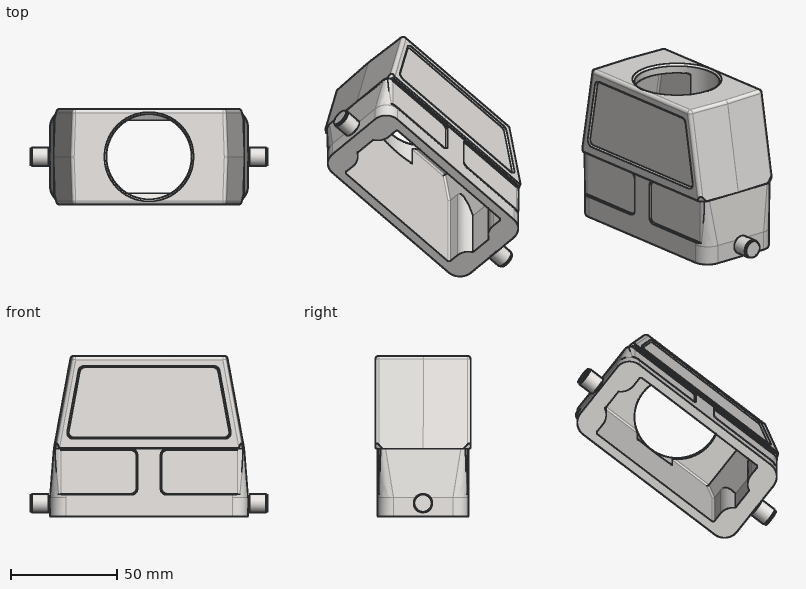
import cadquery as cq

length = 111.7
width = 45.0
height = 75.6

base_half_x = 46.6
body_half_y = 21.5
base_corner_radius = 7.5
base_height = 9.2
rim_chamfer_width = 0.1
rim_chamfer_height = 0.6
shoulder_z = 31.8
shoulder_half_x = 44.8
shoulder_corner_radius = 3.8

hood_half_y = width / 2
hood_top_half_x = 36.7
hood_fold = 0.8
hood_edge_radius = 1.8
hood_lower_chamfer = 0.7
bevel_x = 2.8
bevel_y = 4.7
bevel_rise = 8.9
end_slope = (shoulder_half_x - hood_top_half_x) / (height - shoulder_z)

grip_depth = 0.7
window_depth = 0.9
recess_wall_width_per_depth = 0.9
recess_corner_radius = 3.0
window_bottom_z = 36.5
window_top_z = 70.9
window_bottom_half_x = 39.1
grip_bottom_z = 10.3
grip_inner_x = 5.4
grip_outer_x = 45.8
grip_end_radius = 4.4
grip_end_half_y = 18.4

entry_radius = 40.0 / 2
entry_chamfer = 1.0
entry_depth = 17.5
entry_tip_radius = 16.2
entry_tip_height = 2.2

cavity_half_y = 17.1
cavity_roof_z = height - 4.5
cavity_top_half_x = 31.6
cavity_edge_radius = 0.9
cavity_shoulder_half_x = cavity_top_half_x + end_slope * (cavity_roof_z - shoulder_z)
boss_face_x = 35.0
boss_radius = 7.6
boss_y = 11.8

pin_z = 6.4
pin_radius = 8.8 / 2
pin_tip_radius = 8.0 / 2
pin_tip_length = 0.7
pin_head_x = 47.2
neck_radius = 2.6
neck_start_x = base_half_x - 2.2


def rounded_rectangle(half_x, half_y, radius):
    return cq.Sketch().rect(2 * half_x, 2 * half_y).vertices().fillet(radius)


def make_body():
    lower = rounded_rectangle(base_half_x, body_half_y, base_corner_radius)
    upper = rounded_rectangle(shoulder_half_x, body_half_y, shoulder_corner_radius)
    rise = cq.Location(cq.Vector(0, 0, shoulder_z - base_height))
    base = cq.Workplane("XY").placeSketch(lower).extrude(base_height)
    leaning = (
        cq.Workplane("XY", origin=(0, 0, base_height))
        .placeSketch(lower, upper.moved(rise))
        .loft(ruled=True)
    )
    base = base.faces("<Z").edges().chamfer(rim_chamfer_height, rim_chamfer_width)
    return base.union(leaning)


def polyhedron(rings):
    """Solid bounded by flat faces, one per closed ring of corner points."""
    faces = [cq.Face.makeFromWires(cq.Wire.makePolygon(ring, close=True)) for ring in rings]
    solid = cq.Solid.makeSolid(cq.Shell.makeShell(faces))
    return cq.Workplane(solid.fix())


def hood_outline(ridge_half_x, z):
    """Six corners of the hood plan at height z, with a ridge at each end on the X axis."""
    corner_half_x = ridge_half_x - hood_fold
    plan = [
        (ridge_half_x, 0),
        (corner_half_x, hood_half_y),
        (-corner_half_x, hood_half_y),
        (-ridge_half_x, 0),
        (-corner_half_x, -hood_half_y),
        (corner_half_x, -hood_half_y),
    ]
    return [cq.Vector(x, y, z) for x, y in plan]


def corner_wedge(side_x, side_y):
    """Cutter that bevels one lower hood corner down towards the rounder body corner."""
    corner_x = side_x * shoulder_half_x
    corner_y = side_y * hood_half_y
    base = [
        cq.Vector(corner_x, corner_y, shoulder_z),
        cq.Vector(corner_x - side_x * bevel_x, corner_y, shoulder_z),
        cq.Vector(corner_x, corner_y - side_y * bevel_y, shoulder_z),
    ]
    apex = cq.Vector(corner_x, corner_y, shoulder_z + bevel_rise)
    rings = [base]
    for i in range(len(base)):
        rings.append([base[i - 1], base[i], apex])
    return polyhedron(rings)


def make_hood():
    lower = hood_outline(shoulder_half_x, shoulder_z)
    upper = hood_outline(hood_top_half_x, height)
    rings = [lower, upper]
    for i in range(len(lower)):
        rings.append([lower[i - 1], lower[i], upper[i], upper[i - 1]])
    hood = polyhedron(rings)
    hood = hood.faces("<Z").edges("|X").chamfer(hood_lower_chamfer)
    corner_edges = hood.faces("<Y or >Y").edges("not |X")
    hood = hood.faces(">Z").edges().add(corner_edges).fillet(hood_edge_radius)
    for side_x in (-1, 1):
        for side_y in (-1, 1):
            hood = hood.cut(corner_wedge(side_x, side_y))
    return hood


def side_recess(outline, face_y, depth):
    """Cutters with sloped walls, sunk from the side planes at -face_y and +face_y."""
    cutter = (
        cq.Workplane("XZ", origin=(0, -face_y, 0))
        .polyline(outline)
        .close()
        .extrude(-depth)
        .edges("|Y")
        .fillet(recess_corner_radius)
        .faces(">Y")
        .edges()
        .chamfer(recess_wall_width_per_depth * depth)
    )
    return cutter.union(cutter.mirror("XZ"))


def make_windows():
    top_half_x = window_bottom_half_x - end_slope * (window_top_z - window_bottom_z)
    outline = [
        (-window_bottom_half_x, window_bottom_z),
        (window_bottom_half_x, window_bottom_z),
        (top_half_x, window_top_z),
        (-top_half_x, window_top_z),
    ]
    return side_recess(outline, hood_half_y, window_depth)


def make_grips():
    """Two recesses on each long side, running out at the ends."""
    grips = cq.Workplane("XY")
    for side in (-1, 1):
        outline = [
            (side * grip_inner_x, grip_bottom_z),
            (side * length / 2, grip_bottom_z),
            (side * length / 2, shoulder_z),
            (side * grip_inner_x, shoulder_z),
        ]
        grips = grips.add(side_recess(outline, body_half_y, grip_depth))
    return grips.combine()


def make_grip_ends():
    """Cutter that wraps the grip recesses round the corners of the body."""
    floor_half_y = body_half_y - grip_depth
    wrap_start_z = grip_bottom_z + grip_depth / 2
    wrap_height = shoulder_z - wrap_start_z
    plane = cq.Workplane("XY", origin=(0, 0, wrap_start_z))
    core = plane.placeSketch(
        rounded_rectangle(grip_outer_x, floor_half_y, grip_end_radius)
    ).extrude(wrap_height)
    end_wall = plane.rect(length, 2 * grip_end_half_y).extrude(wrap_height)
    middle = plane.rect(2 * (grip_outer_x - grip_end_radius), length).extrude(wrap_height)
    return plane.rect(length, length).extrude(wrap_height).cut(core).cut(end_wall).cut(middle)


def make_entry():
    chamfer_radius = entry_radius + entry_chamfer
    profile = [
        (0, height),
        (chamfer_radius, height),
        (entry_radius, height - entry_chamfer),
        (entry_radius, height - entry_depth),
        (entry_tip_radius, height - entry_depth - entry_tip_height),
        (0, height - entry_depth - entry_tip_height),
    ]
    return cq.Workplane("XZ").polyline(profile).close().revolve(360, (0, 0, 0), (0, 1, 0))


def make_cavity():
    profile = [
        (-cavity_shoulder_half_x, 0),
        (cavity_shoulder_half_x, 0),
        (cavity_shoulder_half_x, shoulder_z),
        (cavity_top_half_x, cavity_roof_z),
        (-cavity_top_half_x, cavity_roof_z),
        (-cavity_shoulder_half_x, shoulder_z),
    ]
    cavity = (
        cq.Workplane("XZ", origin=(0, cavity_half_y, 0))
        .polyline(profile)
        .close()
        .extrude(2 * cavity_half_y)
    )
    for side_x in (-1, 1):
        for side_y in (-1, 1):
            boss_x = side_x * (boss_face_x + boss_radius)
            pillar = (
                cq.Workplane("XY", origin=(boss_x, side_y * boss_y, 0))
                .circle(boss_radius)
                .extrude(height)
            )
            web = (
                cq.Workplane("XY", origin=(boss_x, side_y * (boss_y + boss_radius), 0))
                .rect(2 * boss_radius, 2 * boss_radius)
                .extrude(height)
            )
            cavity = cavity.cut(pillar).cut(web)
    roof_edges = cavity.faces(">Z").edges("|X")
    corner_edges = cavity.faces("<Y or >Y").edges("not |X")
    return roof_edges.add(corner_edges).fillet(cavity_edge_radius)


def make_pin():
    """Stepped pin on the +X end."""
    tip_x = length / 2
    tip_chamfer = pin_radius - pin_tip_radius
    profile = [
        (neck_start_x, 0),
        (neck_start_x, neck_radius),
        (pin_head_x, neck_radius),
        (pin_head_x, pin_radius),
        (tip_x - pin_tip_length - tip_chamfer, pin_radius),
        (tip_x - pin_tip_length, pin_tip_radius),
        (tip_x, pin_tip_radius),
        (tip_x, 0),
    ]
    return (
        cq.Workplane("XY", origin=(0, 0, pin_z))
        .polyline(profile)
        .close()
        .revolve(360, (0, 0, 0), (1, 0, 0))
    )


body = make_body().cut(make_grips()).cut(make_grip_ends())
shell = body.union(make_hood())
shell = shell.cut(make_windows()).cut(make_cavity()).cut(make_entry())
pin = make_pin()
result = shell.union(pin).union(pin.mirror("YZ"))